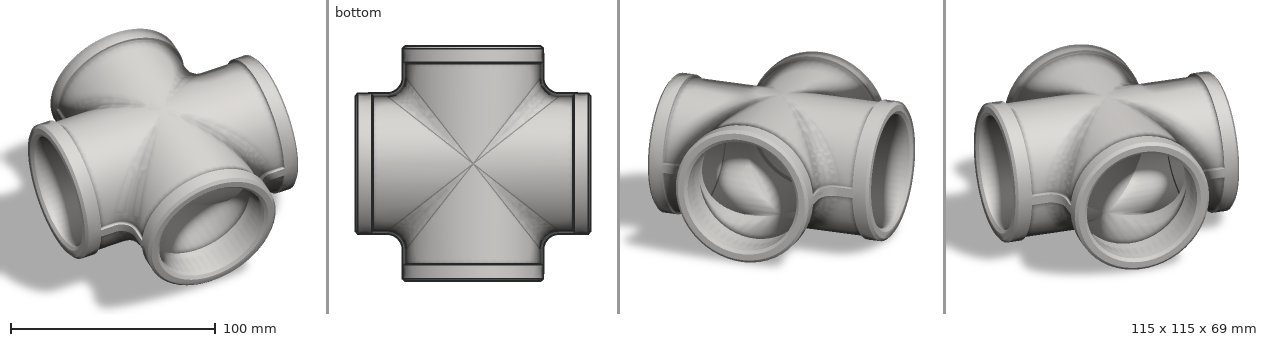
import cadquery as cq
import math

span = 115.0
half_span = span / 2

collar_radius = 34.5
collar_length = 8.0
collar_inner_end = half_span - collar_length
collar_chamfer_length = 1.3
collar_chamfer_depth = 1.5

pipe_radius = 33.0
blend_radius = 9.0
foot_radius = 0.6

rib_thickness = 4.6
rib_blend_radius = blend_radius - (collar_radius - pipe_radius)

bore_radius = 56.7 / 2
mouth_radius = 59.8 / 2
mouth_chamfer_length = 1.3
cavity_radius = 60.6 / 2
bore_length = 18.0

tolerance = 0.001


def on_both_axes(shape_along_x):
    """Join a shape lying along X with its copy turned to lie along Y."""
    return shape_along_x.union(shape_along_x.rotate((0, 0, 0), (0, 0, 1), 90))


def turned_about_x(outline):
    """Revolve an outline of (distance along X, radius) points about the X axis."""
    return cq.Workplane("XY").polyline(outline).close().revolve(360, (0, 0, 0), (1, 0, 0))


def blended_pipes():
    """Two crossing solid pipes, rounded along the curves where they meet."""
    pipe = cq.Workplane("YZ").circle(pipe_radius).extrude(collar_inner_end, both=True)
    return on_both_axes(pipe).edges("not %CIRCLE").fillet(blend_radius)


def ribs():
    """Flat cross between the collars, with rounded inner corners."""
    strip = cq.Workplane("XY").box(2 * collar_inner_end, 2 * collar_radius, rib_thickness)
    corner_reach = collar_radius + tolerance
    inner_corners = cq.selectors.BoxSelector(
        (-corner_reach, -corner_reach, -rib_thickness),
        (corner_reach, corner_reach, rib_thickness),
    )
    return on_both_axes(strip).edges("|Z").edges(inner_corners).fillet(rib_blend_radius)


def collar_pair():
    """Collars at both ends of the X axis."""
    collar = turned_about_x([
        (collar_inner_end, 0),
        (collar_inner_end, collar_radius),
        (half_span - collar_chamfer_length, collar_radius),
        (half_span, collar_radius - collar_chamfer_depth),
        (half_span, 0),
    ])
    return collar.union(collar.mirror("YZ"))


def is_foot_corner(point):
    """True for a point of the pipe wall at the height of a rib face."""
    x, y, z = point.toTuple()
    rib_face_height = rib_thickness / 2
    wall_offset = math.sqrt(pipe_radius**2 - rib_face_height**2)
    at_rib_face = abs(abs(z) - rib_face_height) < tolerance
    on_wall = abs(min(abs(x), abs(y)) - wall_offset) < tolerance
    return at_rib_face and on_wall


def round_feet(solid):
    """Round the edges where the pipe wall meets the ribs and the collars."""
    foot_edges = [
        edge for edge in solid.edges().vals()
        if is_foot_corner(edge.startPoint()) and is_foot_corner(edge.endPoint())
    ]
    return solid.newObject(foot_edges).fillet(foot_radius)


def bores():
    """Crossing bores, chamfered at the mouths."""
    bore_inner_end = half_span - bore_length
    half_profile = [
        (bore_inner_end, cavity_radius),
        (bore_inner_end, bore_radius),
        (half_span - mouth_chamfer_length, bore_radius),
        (half_span, mouth_radius),
        (half_span, 0),
    ]
    mirrored_half = [(-distance, radius) for distance, radius in reversed(half_profile)]
    return on_both_axes(turned_about_x(mirrored_half + half_profile))


body = blended_pipes().union(ribs()).union(collar_pair()).union(
    collar_pair().rotate((0, 0, 0), (0, 0, 1), 90)
)
result = round_feet(body).cut(bores())